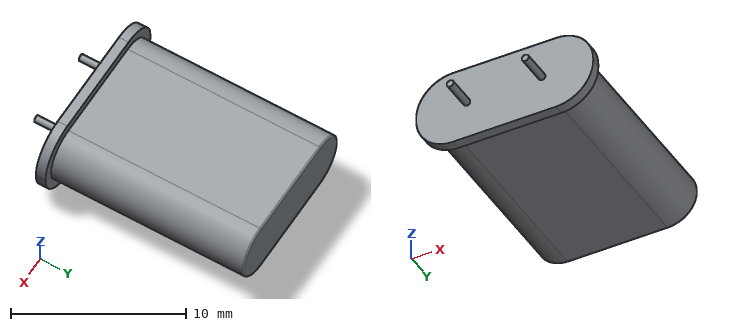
import cadquery as cq

total_length = 15.5
flange_width = 11.5
flange_height = 5.0
flange_thickness = 0.65
flange_corner_radius = 2.4
can_width = 10.32
can_height = 3.83
can_end_fillet = 0.11
pin_diameter = 0.45
pin_spacing = 4.88
pin_length = 2.0

can_length = total_length - pin_length - flange_thickness


def make_housing():
    """Flanged can: a rounded base plate carrying a long obround cover."""
    flange = (
        cq.Workplane("XZ")
        .rect(flange_width, flange_height)
        .extrude(-flange_thickness)
        .edges("|Y")
        .fillet(flange_corner_radius)
    )
    can = (
        cq.Workplane("XZ", origin=(0, flange_thickness, 0))
        .slot2D(can_width, can_height)
        .extrude(-can_length)
        .faces(">Y")
        .edges()
        .fillet(can_end_fillet)
    )
    return flange.union(can)


def make_pin(x):
    """Round lead standing on the outer face of the flange."""
    return cq.Workplane("XZ", origin=(x, 0, 0)).circle(pin_diameter / 2).extrude(pin_length)


housing = make_housing()
pins = [make_pin(side * pin_spacing / 2) for side in (-1, 1)]

result = cq.Compound.makeCompound([housing.val(), *[pin.val() for pin in pins]])